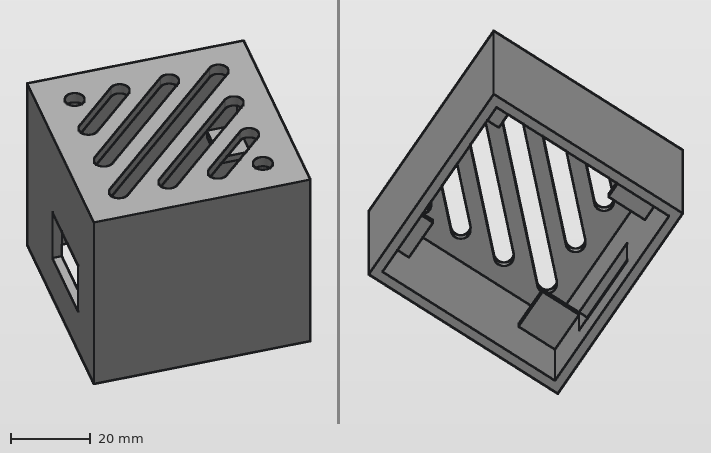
import cadquery as cq

side = 57.0
height = 53.0
wall = 2.5
top_thickness = 3.0

window_left = -6.9
window_right = 15.0
window_bottom = 13.0
window_top = 28.0

opening_width = 5.0
opening_offset = 18.9
slot_pitch = 13.0

tab_top = window_top
tab_thickness = 2.0
front_tab_edge = 15.0
back_tab_edge = 18.0

inner_half = side / 2 - wall


def box_between(x_range, y_range, z_range):
    """Axis-aligned box spanning the three (low, high) ranges."""
    size = [high - low for low, high in (x_range, y_range, z_range)]
    return cq.Workplane("XY").box(*size, centered=False).translate((x_range[0], y_range[0], z_range[0]))


def make_shell():
    inside = (-inner_half, inner_half)
    cavity = box_between(inside, inside, (0, height - top_thickness))
    return cq.Workplane("XY").box(side, side, height, centered=(True, True, False)).cut(cavity)


def make_tabs():
    """Four corner tabs: deeper at the front (-Y) than at the back."""
    tabs = cq.Workplane("XY")
    left = (-inner_half, -front_tab_edge)
    right = (front_tab_edge, inner_half)
    front = (-inner_half, -front_tab_edge)
    back = (back_tab_edge, inner_half)
    for x_range in (left, right):
        for y_range in (front, back):
            tabs = tabs.add(box_between(x_range, y_range, (tab_top - tab_thickness, tab_top)))
    return tabs.combine()


def make_window():
    wall_range = (-side / 2, -inner_half)
    return box_between((window_left, window_right), wall_range, (window_bottom, window_top))


def make_top_openings():
    """Five diagonal slots, with a round hole in each of the two corners they leave free."""
    top = cq.Workplane("XY", origin=(0, 0, height - top_thickness))
    corners = [(-opening_offset, -opening_offset), (opening_offset, opening_offset)]
    openings = top.pushPoints(corners).circle(opening_width / 2).extrude(top_thickness)
    for step in range(-2, 3):
        centre = step * slot_pitch / 2
        end_spacing = 2**0.5 * (2 * opening_offset - abs(step) * slot_pitch)
        slot = top.center(centre, centre).slot2D(end_spacing + opening_width, opening_width, -45)
        openings = openings.union(slot.extrude(top_thickness))
    return openings


result = make_shell().union(make_tabs()).cut(make_window()).cut(make_top_openings())